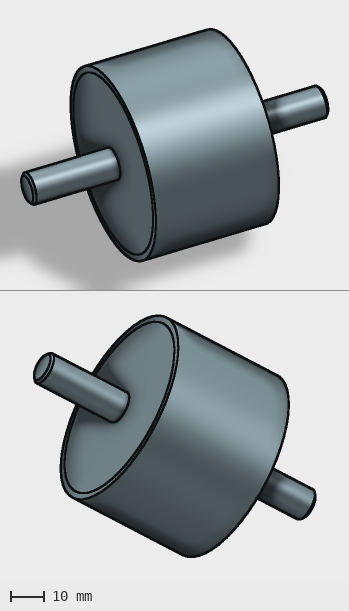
import cadquery as cq

overall_length = 96.0
rubber_diameter = 60.0
rubber_length = 40.0
plate_diameter = 56.0
plate_thickness = 2.0
stud_diameter = 10.0
stud_chamfer = 0.8

stud_length = (overall_length - rubber_length) / 2


def disc(diameter, length, start_y, direction):
    """Cylinder on the Y axis, running from start_y toward direction (+1 or -1)."""
    return cq.Workplane(
        cq.Solid.makeCylinder(
            diameter / 2, length, cq.Vector(0, start_y, 0), cq.Vector(0, direction, 0)
        )
    )


def make_studded_plate(side):
    """Plate flush with the rubber end face, with a stud standing outward on it."""
    face_y = side * rubber_length / 2
    plate = disc(plate_diameter, plate_thickness, face_y, -side)
    tip_selector = ">Y" if side > 0 else "<Y"
    stud = disc(stud_diameter, stud_length, face_y, side)
    stud = stud.faces(tip_selector).chamfer(stud_chamfer)
    return plate.union(stud)


def make_rubber_body():
    """Rubber cylinder with a recess in each end that holds a plate."""
    body = disc(rubber_diameter, rubber_length, -rubber_length / 2, 1)
    for side in (-1, 1):
        body = body.cut(disc(plate_diameter, plate_thickness, side * rubber_length / 2, -side))
    return body


rubber_body = make_rubber_body()
studded_plates = [make_studded_plate(side) for side in (-1, 1)]

result = cq.Compound.makeCompound(
    [rubber_body.solids().val(), *[plate.solids().val() for plate in studded_plates]]
)